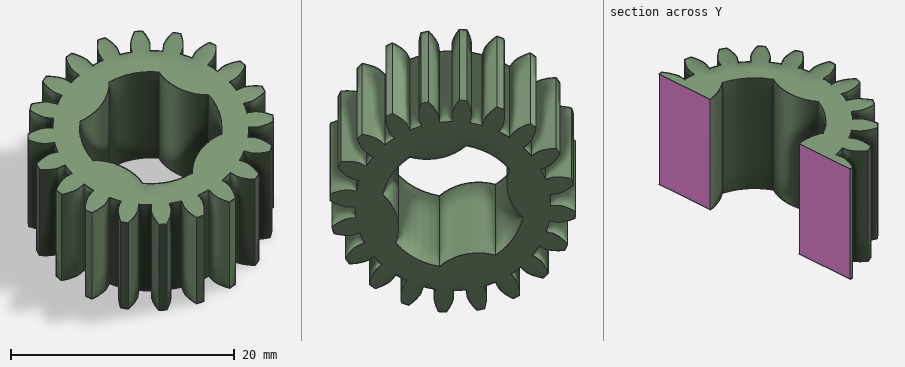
import cadquery as cq
import math

outside_diameter = 22.0
face_width = 12.5
tooth_count = 20
pressure_angle = math.radians(20)
dedendum_factor = 1.25
bore_radius = 6.35
lobe_count = 4
lobe_clearance_radius = 5.1
lobe_radius = 5.0
flank_samples = 6

module = outside_diameter / (tooth_count + 2)
tip_radius = outside_diameter / 2
pitch_radius = module * tooth_count / 2
root_radius = pitch_radius - dedendum_factor * module
base_radius = pitch_radius * math.cos(pressure_angle)


def polar(radius, angle):
    return (radius * math.cos(angle), radius * math.sin(angle))


def involute(angle):
    return math.tan(angle) - angle


base_half_angle = math.pi / (2 * tooth_count) + involute(pressure_angle)


def flank_points(center_angle, side):
    """Involute points from base to tip; side is -1 or +1 about the tooth centreline."""
    points = []
    for i in range(flank_samples + 1):
        roll = math.sqrt((tip_radius / base_radius) ** 2 - 1) * i / flank_samples
        radius = base_radius * math.hypot(1, roll)
        half_angle = base_half_angle - involute(math.atan(roll))
        points.append(polar(radius, center_angle + side * half_angle))
    return points


def gear_blank():
    """Solid gear: each tooth has involute flanks that run radially below the base circle."""
    pitch_angle = 2 * math.pi / tooth_count
    outline = cq.Workplane("XY").moveTo(*polar(root_radius, -base_half_angle))
    for tooth in range(tooth_count):
        center = tooth * pitch_angle
        rising = flank_points(center, -1)
        falling = flank_points(center, 1)[::-1]
        outline = outline.lineTo(*rising[0]).spline(rising[1:], includeCurrent=True)
        outline = outline.threePointArc(polar(tip_radius, center), falling[0])
        outline = outline.spline(falling[1:], includeCurrent=True)
        outline = outline.lineTo(*polar(root_radius, center + base_half_angle))
        gap_middle = center + pitch_angle / 2
        next_root = center + pitch_angle - base_half_angle
        outline = outline.threePointArc(polar(root_radius, gap_middle), polar(root_radius, next_root))
    return outline.close().extrude(face_width)


def lobed_bore():
    """Round bore narrowed by convex lobes that bulge toward the axis."""
    bore = cq.Workplane("XY").circle(bore_radius).extrude(face_width)
    lobes = (
        cq.Workplane("XY")
        .polarArray(lobe_clearance_radius + lobe_radius, 0, 360, lobe_count)
        .circle(lobe_radius)
        .extrude(face_width)
    )
    return bore.cut(lobes)


result = gear_blank().cut(lobed_bore())